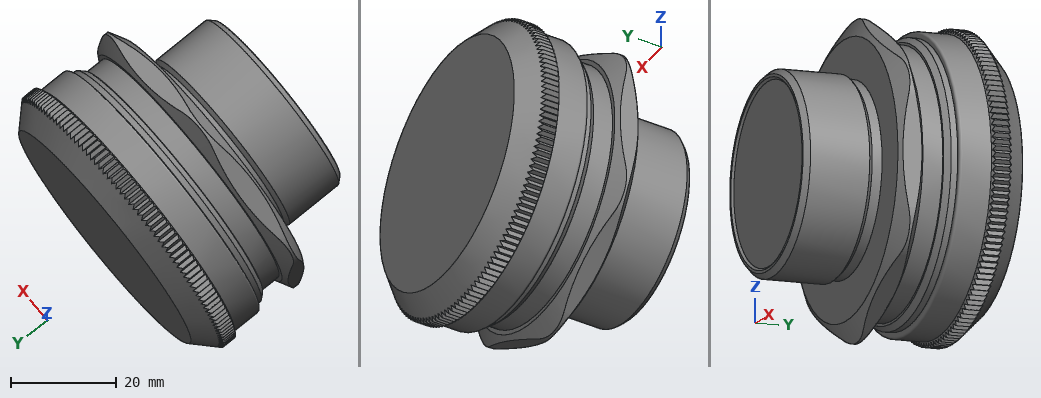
import cadquery as cq
import math


total_length = 42.0
neck_start = 14.0
nut_start = 16.0
nut_width = 5.1
collar_end = 25.45
shoulder_end = 27.9
flange_end = 34.3
rim_width = 3.2

spigot_diameter = 40.0
neck_diameter = 38.4
collar_diameter = 53.0
shoulder_diameter = 56.0
flange_diameter = 58.5
rim_diameter = 60.5

lead_in_length = 1.1
lead_in_depth = 1.0
flange_rounding = 0.5
rim_bevel_length = 0.5

recess_diameter = 36.85
recess_depth = 0.45

across_flats = 56.9
across_corners = 62.7
nut_face_diameter = 54.8
nut_bevel_angle = 30.0

tooth_count = 144
tooth_depth = 0.75

nut_end = nut_start + nut_width
rim_end = flange_end + rim_width
spigot_radius = spigot_diameter / 2
neck_radius = neck_diameter / 2
collar_radius = collar_diameter / 2
shoulder_radius = shoulder_diameter / 2
flange_radius = flange_diameter / 2
rim_radius = rim_diameter / 2
recess_radius = recess_diameter / 2
nut_radius = across_corners / 2
nut_face_radius = nut_face_diameter / 2


def revolve_outline(outline):
    """Turn a closed outline in the XY plane around the Y axis."""
    return outline.revolve(360, (0, 0, 0), (0, 1, 0))


def plane_at(y):
    """Work plane facing +Y, with local X along X and local Y along -Z."""
    return cq.Workplane(cq.Plane(origin=(0, y, 0), xDir=(1, 0, 0), normal=(0, 1, 0)))


def make_turned_body():
    neck_chamfer = spigot_radius - neck_radius
    back_radius = rim_radius - (total_length - rim_end)
    front_points = [
        (0, recess_depth),
        (recess_radius - recess_depth, recess_depth),
        (recess_radius, 0),
        (spigot_radius - lead_in_depth, 0),
        (spigot_radius, lead_in_length),
        (spigot_radius, neck_start - neck_chamfer),
        (neck_radius, neck_start),
        (neck_radius, nut_start),
        (collar_radius, nut_start),
        (collar_radius, collar_end),
        (shoulder_radius - lead_in_depth, collar_end),
        (shoulder_radius, collar_end + lead_in_length),
        (shoulder_radius, shoulder_end),
        (flange_radius - flange_rounding, shoulder_end),
    ]
    back_points = [
        (flange_radius, flange_end),
        (rim_radius, flange_end + rim_bevel_length),
        (rim_radius, rim_end),
        (back_radius, total_length),
        (0, total_length),
    ]
    outline = (
        cq.Workplane("XY")
        .polyline(front_points)
        .tangentArcPoint((flange_radius, shoulder_end + flange_rounding), relative=False)
        .polyline(back_points, includeCurrent=True)
        .close()
    )
    return revolve_outline(outline)


def make_nut():
    """Hexagon with rounded corners, bevelled on both faces."""
    side_count = 6
    corner_stretch = 1 / math.cos(math.pi / side_count)
    sharp_radius = across_flats / 2 * corner_stretch
    corner_rounding = (sharp_radius - nut_radius) / (corner_stretch - 1)
    hexagon = (
        plane_at(nut_start)
        .transformed(rotate=(0, 0, 90))
        .polygon(side_count, 2 * sharp_radius)
        .extrude(nut_width)
        .edges("|Y")
        .fillet(corner_rounding)
    )
    bevel_length = (nut_radius - nut_face_radius) * math.tan(math.radians(nut_bevel_angle))
    envelope_points = [
        (0, nut_start),
        (nut_face_radius, nut_start),
        (nut_radius, nut_start + bevel_length),
        (nut_radius, nut_end - bevel_length),
        (nut_face_radius, nut_end),
        (0, nut_end),
    ]
    envelope = revolve_outline(cq.Workplane("XY").polyline(envelope_points).close())
    return hexagon.intersect(envelope)


def make_knurl_cutter():
    """Ring whose inner side carries the V-shaped teeth of the rim."""
    half_pitch = math.pi / tooth_count
    root_radius = rim_radius - tooth_depth
    teeth = []
    for index in range(2 * tooth_count):
        radius = root_radius if index % 2 == 0 else rim_radius
        angle = index * half_pitch
        teeth.append((radius * math.cos(angle), radius * math.sin(angle)))
    clearance_radius = rim_radius + tooth_depth
    return (
        plane_at(flange_end)
        .circle(clearance_radius)
        .polyline(teeth)
        .close()
        .extrude(total_length - flange_end)
    )


result = make_turned_body().cut(make_knurl_cutter()).union(make_nut())